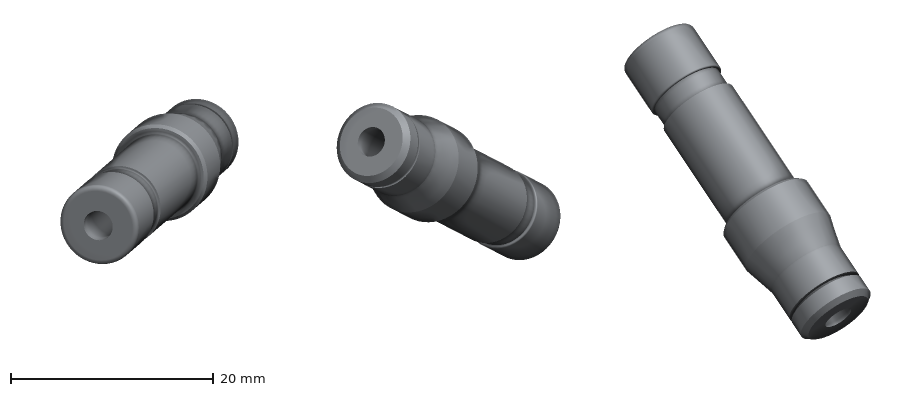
import cadquery as cq
import math

total_length = 34.0
bore_radius = 1.5
stem_radius = 4.05
back_radius = 4.075

tip_fillet = 0.5

seal_groove_front = 5.55
seal_groove_width = 2.2
seal_groove_depth = 0.3
seal_groove_radius = stem_radius - seal_groove_depth
seal_groove_fillet = 0.15

collar_radius = 4.95
collar_front = 20.1
collar_length = 4.5
collar_chamfer = 0.3
shoulder_fillet = 0.25
cone_length = 3.4

ring_groove_width = 0.4
ring_groove_depth = 0.6
ring_groove_radius = back_radius - ring_groove_depth
ring_groove_to_back = 2.2
back_chamfer_length = 0.5
back_chamfer_depth = 0.6

seal_groove_back = seal_groove_front + seal_groove_width
collar_back = collar_front + collar_length
cone_back = collar_back + cone_length
ring_groove_back = total_length - ring_groove_to_back
ring_groove_front = ring_groove_back - ring_groove_width


def arc_midpoint(center, radius, angle_degrees):
    """Point on a circle around center, at an angle measured from +X."""
    angle = math.radians(angle_degrees)
    return (center[0] + radius * math.cos(angle), center[1] + radius * math.sin(angle))


def fillet_to(profile, center, radius, angle_degrees, end):
    """Continue the profile with a quarter round whose middle lies at the given angle."""
    return profile.threePointArc(arc_midpoint(center, radius, angle_degrees), end)


def stem_tip(profile):
    """Flat tip face and the rounded edge around it."""
    flat_radius = stem_radius - tip_fillet
    profile = profile.lineTo(flat_radius, 0)
    return fillet_to(profile, (flat_radius, tip_fillet), tip_fillet, -45, (stem_radius, tip_fillet))


def seal_groove(profile):
    """Shallow groove with a rounded front lip and a rounded back corner."""
    fillet = seal_groove_fillet
    lip_center = (stem_radius - fillet, seal_groove_front - fillet)
    corner_center = (seal_groove_radius + fillet, seal_groove_back - fillet)
    profile = profile.lineTo(stem_radius, lip_center[1])
    profile = fillet_to(profile, lip_center, fillet, 45, (lip_center[0], seal_groove_front))
    profile = profile.lineTo(seal_groove_radius, seal_groove_front)
    profile = profile.lineTo(seal_groove_radius, corner_center[1])
    profile = fillet_to(profile, corner_center, fillet, 135, (corner_center[0], seal_groove_back))
    return profile.lineTo(stem_radius, seal_groove_back)


def collar(profile):
    """Filleted shoulder, chamfered edge, cylinder and tapering cone."""
    fillet_center = (stem_radius + shoulder_fillet, collar_front - shoulder_fillet)
    profile = profile.lineTo(stem_radius, fillet_center[1])
    profile = fillet_to(profile, fillet_center, shoulder_fillet, 135, (fillet_center[0], collar_front))
    profile = profile.lineTo(collar_radius - collar_chamfer, collar_front)
    profile = profile.lineTo(collar_radius, collar_front + collar_chamfer)
    profile = profile.lineTo(collar_radius, collar_back)
    return profile.lineTo(back_radius, cone_back)


def ring_groove(profile):
    """Narrow square groove near the back end."""
    profile = profile.lineTo(back_radius, ring_groove_front)
    profile = profile.lineTo(ring_groove_radius, ring_groove_front)
    profile = profile.lineTo(ring_groove_radius, ring_groove_back)
    return profile.lineTo(back_radius, ring_groove_back)


def back_end(profile):
    """Chamfered edge and flat back face, in to the bore."""
    profile = profile.lineTo(back_radius, total_length - back_chamfer_length)
    profile = profile.lineTo(back_radius - back_chamfer_depth, total_length)
    return profile.lineTo(bore_radius, total_length)


half_section = cq.Workplane("XY").moveTo(bore_radius, 0)
for add_section in (stem_tip, seal_groove, collar, ring_groove, back_end):
    half_section = add_section(half_section)

result = half_section.close().revolve(360, (0, 0, 0), (0, 1, 0))